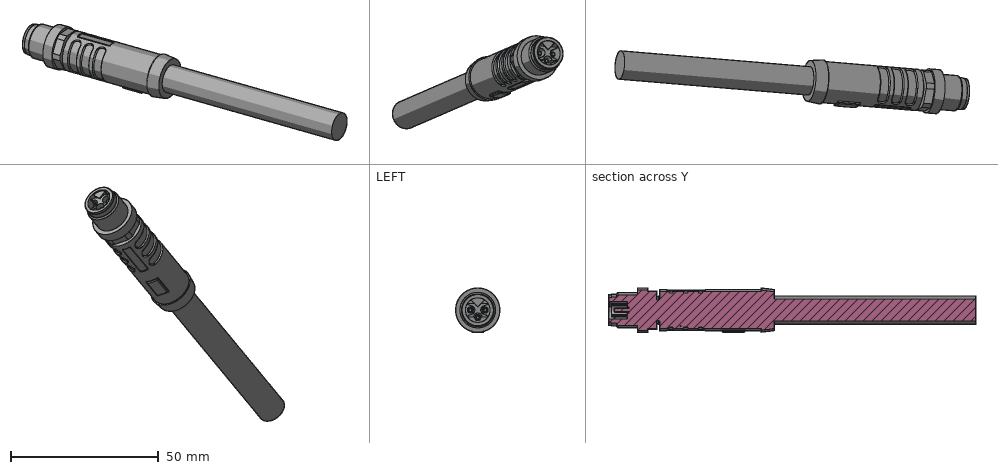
import cadquery as cq
import math

TOTAL_LENGTH = 124.2

NOSE_DIAMETER = 10.8
NOSE_TIP_DIAMETER = 10.5
NOSE_TIP_LENGTH = 0.9
NOSE_END = 2.6
THREAD_DIAMETER = 12.0
THREAD_CHAMFER = 0.5
RING_START = 9.7
RING_END = 13.3
RING_DIAMETER = 15.0

HEX_END = 16.3
HEX_CORNER_DIAMETER = 14.0
HEX_ACROSS_FLATS = 13.0
HEX_TURN = 90.0
NECK_DIAMETER = 9.3
NECK_FLARE_DIAMETER = 9.7
NECK_FLARE_LENGTH = 0.4

GRIP_START = 17.3
GRIP_DIAMETER = 14.0
COLLAR_START = 51.5
COLLAR_END = 56.0
COLLAR_MIDDLE_DIAMETER = 14.5
COLLAR_END_DIAMETER = 13.9
CABLE_DIAMETER = 9.7

RECESS_DEPTH = 0.5
RECESS_FIRST_X = 21.1
RECESS_PITCH = 5.0
RECESS_COUNT = 3
RECESS_FLOOR_WIDTH = 2.9
RECESS_RIM_WIDTH = 3.6
RECESS_TOP_Y = 2.9

PANEL_START = 19.6
PANEL_END = 32.8
PANEL_WIDTH = 3.0
PANEL_FLOOR_Z = 6.6
PANEL_CORNER_RADIUS = 0.5

PAD_START = 38.3
PAD_END = 46.2
PAD_WIDTH = 4.5
PAD_CHAMFER = 0.4

BORE_DIAMETER = 8.3
BORE_DEPTH = 6.2
INSERT_START = 0.9
INSERT_HEIGHT = 4.6
BAY_DIAMETER = 3.0
BAY_FLARE_ANGLE = 30.0
KEY_START = 0.5
KEY_APEX_Z = 1.1
KEY_HALF_WIDTH = 2.1
PIN_DIAMETER = 1.5
PIN_SEAT_DIAMETER = 2.1
PIN_SEAT_DEPTH = 0.6
PIN_START = 1.9
PIN_CIRCLE_RADIUS = 2.5
PIN_TIP_CHAMFER = 0.2
PIN_ANGLES = (0, 180, 270)


def rod(diameter, start, end):
    """Cylinder along the X axis."""
    return cq.Workplane("YZ", origin=(start, 0, 0)).circle(diameter / 2).extrude(end - start)


def make_plug():
    """Nose, thread, coupling ring, hexagon and neck, in front of the grip."""
    tip = rod(NOSE_TIP_DIAMETER, 0, NOSE_TIP_LENGTH)
    nose = rod(NOSE_DIAMETER, NOSE_TIP_LENGTH, NOSE_END)
    thread = rod(THREAD_DIAMETER, NOSE_END, RING_START).faces("<X").chamfer(THREAD_CHAMFER)
    ring = rod(RING_DIAMETER, RING_START, RING_END)
    flats = (
        cq.Workplane("YZ", origin=(RING_END, 0, 0))
        .polygon(6, HEX_ACROSS_FLATS, circumscribed=True)
        .extrude(HEX_END - RING_END)
        .rotate((0, 0, 0), (1, 0, 0), HEX_TURN)
    )
    hexagon = flats.intersect(rod(HEX_CORNER_DIAMETER, RING_END, HEX_END))
    neck = rod(NECK_DIAMETER, HEX_END, GRIP_START)
    flare = rod(NECK_FLARE_DIAMETER, GRIP_START - NECK_FLARE_LENGTH, GRIP_START)
    return tip.union(nose).union(thread).union(ring).union(hexagon).union(neck).union(flare)


def make_collar():
    """Collar whose outline bows inwards to the cable end."""
    middle_x = (COLLAR_START + COLLAR_END) / 2
    return (
        cq.Workplane("XZ")
        .moveTo(COLLAR_START, 0)
        .lineTo(COLLAR_START, RING_DIAMETER / 2)
        .threePointArc((middle_x, COLLAR_MIDDLE_DIAMETER / 2), (COLLAR_END, COLLAR_END_DIAMETER / 2))
        .lineTo(COLLAR_END, 0)
        .close()
        .revolve(360, (0, 0, 0), (1, 0, 0))
    )


def finger_recess(x, side):
    """Rounded slot wrapped around one side of the grip, with sloping walls."""
    slot_length = GRIP_DIAMETER
    mid_y = side * (RECESS_TOP_Y + slot_length / 2)
    slot = (
        cq.Workplane("XY", origin=(x, mid_y, -GRIP_DIAMETER / 2))
        .slot2D(slot_length, RECESS_RIM_WIDTH, 90)
        .extrude(GRIP_DIAMETER)
    )
    floor_radius = GRIP_DIAMETER / 2 - RECESS_DEPTH
    half_floor = RECESS_FLOOR_WIDTH / 2
    half_rim = RECESS_RIM_WIDTH / 2
    band = (
        cq.Workplane("XZ")
        .moveTo(x - half_rim, GRIP_DIAMETER / 2)
        .lineTo(x - half_floor, floor_radius)
        .lineTo(x + half_floor, floor_radius)
        .lineTo(x + half_rim, GRIP_DIAMETER / 2)
        .close()
        .revolve(360, (0, 0, 0), (1, 0, 0))
    )
    return band.intersect(slot)


def label_panel(side):
    """Cutter for the flat panel above (side 1) or below (side -1) the axis."""
    length = PANEL_END - PANEL_START
    middle_x = (PANEL_START + PANEL_END) / 2
    return (
        cq.Workplane("XY", origin=(middle_x, 0, side * PANEL_FLOOR_Z))
        .rect(length, PANEL_WIDTH)
        .extrude(side * GRIP_DIAMETER)
        .edges("|Z")
        .fillet(PANEL_CORNER_RADIUS)
    )


def make_grip():
    grip = rod(GRIP_DIAMETER, GRIP_START, COLLAR_START)
    for index in range(RECESS_COUNT):
        for side in (1, -1):
            grip = grip.cut(finger_recess(RECESS_FIRST_X + index * RECESS_PITCH, side))
    for side in (1, -1):
        grip = grip.cut(label_panel(side))
    return grip


def make_pad():
    """Raised pad on the underside of the grip."""
    bottom_z = -RING_DIAMETER / 2
    height = (RING_DIAMETER - NECK_DIAMETER) / 2
    return (
        cq.Workplane("XY", origin=((PAD_START + PAD_END) / 2, 0, bottom_z))
        .rect(PAD_END - PAD_START, PAD_WIDTH)
        .extrude(height)
        .faces("<Z")
        .chamfer(PAD_CHAMFER)
    )


def make_key():
    """Wedge that hangs from the top of the cavity and points at the axis."""
    bore_radius = BORE_DIAMETER / 2
    shoulder_z = KEY_APEX_Z + KEY_HALF_WIDTH
    wedge = (
        cq.Workplane("YZ", origin=(KEY_START, 0, 0))
        .moveTo(0, KEY_APEX_Z)
        .lineTo(KEY_HALF_WIDTH, shoulder_z)
        .lineTo(KEY_HALF_WIDTH, bore_radius)
        .lineTo(-KEY_HALF_WIDTH, bore_radius)
        .lineTo(-KEY_HALF_WIDTH, shoulder_z)
        .close()
        .extrude(BORE_DEPTH - KEY_START)
    )
    return wedge.intersect(rod(BORE_DIAMETER, KEY_START, BORE_DEPTH))


def pin_bay():
    """Cutter for the first pin's bay: round towards the axis and flaring open to the bore wall."""
    bay_radius = BAY_DIAMETER / 2
    flare_length = BORE_DIAMETER / 2 - PIN_CIRCLE_RADIUS
    mouth_half_width = bay_radius + flare_length * math.tan(math.radians(BAY_FLARE_ANGLE))
    flare = (
        cq.Workplane("YZ", origin=(INSERT_START, PIN_CIRCLE_RADIUS, 0))
        .moveTo(0, -bay_radius)
        .lineTo(flare_length, -mouth_half_width)
        .lineTo(flare_length, mouth_half_width)
        .lineTo(0, bay_radius)
        .close()
        .extrude(BORE_DEPTH - INSERT_START)
    )
    round_end = rod(BAY_DIAMETER, INSERT_START, BORE_DEPTH).translate((0, PIN_CIRCLE_RADIUS, 0))
    return flare.union(round_end)


def make_insert():
    """Insulating block across the bore with a bay around each pin."""
    band = (
        cq.Workplane("YZ", origin=(INSERT_START, 0, 0))
        .rect(NOSE_DIAMETER, INSERT_HEIGHT)
        .extrude(BORE_DEPTH - INSERT_START)
    )
    insert = band.intersect(rod(BORE_DIAMETER, INSERT_START, BORE_DEPTH))
    for angle in PIN_ANGLES:
        insert = insert.cut(pin_bay().rotate((0, 0, 0), (1, 0, 0), angle))
    return insert


def make_contacts(body):
    """Open the cavity, then add the insert, the key and the seated pins."""
    body = body.cut(rod(BORE_DIAMETER, 0, BORE_DEPTH)).union(make_insert()).union(make_key())
    seat_end = BORE_DEPTH + PIN_SEAT_DEPTH
    first_pin_place = (0, PIN_CIRCLE_RADIUS, 0)
    seat = rod(PIN_SEAT_DIAMETER, BORE_DEPTH, seat_end).translate(first_pin_place)
    pin = rod(PIN_DIAMETER, PIN_START, seat_end).faces("<X").chamfer(PIN_TIP_CHAMFER)
    pin = pin.translate(first_pin_place)
    for angle in PIN_ANGLES:
        body = body.cut(seat.rotate((0, 0, 0), (1, 0, 0), angle))
        body = body.union(pin.rotate((0, 0, 0), (1, 0, 0), angle))
    return body


cable = rod(CABLE_DIAMETER, COLLAR_END, TOTAL_LENGTH)
body = make_plug().union(make_grip()).union(make_pad()).union(make_collar()).union(cable)
result = make_contacts(body)